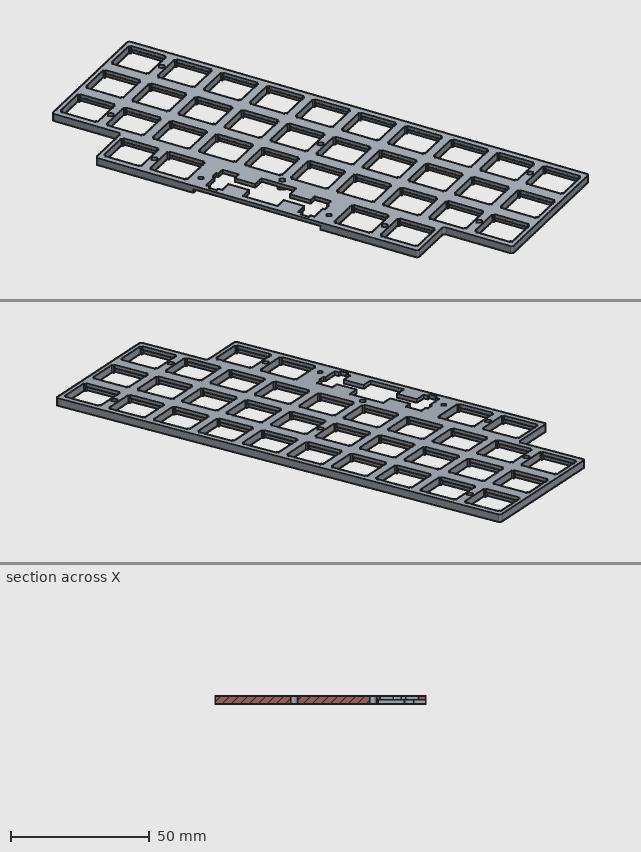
import cadquery as cq
pitch = 19.0
main_columns = 10
main_rows = 3
bottom_units = 7
bottom_key_columns = (-3, -2, 2, 3)

length = main_columns * pitch
width = (main_rows + 1) * pitch
thickness = 3.0
bottom_length = bottom_units * pitch
outer_corner_radius = 1.0
inner_corner_radius = 1.1
top_edge = width / 2
bottom_edge = -width / 2
step_edge = bottom_edge + pitch
bottom_row_y = bottom_edge + pitch / 2

wing_length = 15.5
wing_width = 12.8
clip_pocket_width = 15.0
clip_ledge_total = 1.05
clip_ledge_height = 1.5
window_size = clip_pocket_width - clip_ledge_total

space_switch_length = 14.3
space_switch_width = 14.0
stabilizer_offset = 19.0
stabilizer_length = 6.7
stabilizer_top = 5.3
stabilizer_bottom = -6.9
foot_length = 3.2
foot_bottom = -8.0
wing_reach = 0.85
wing_top = 2.3
wing_bottom = -0.5
wire_channel_width = 4.5

screw_diameter = 2.3
space_screw_diameter = 2.0
space_screw_x = 26.5
space_screw_y = bottom_row_y - 3.5
relief_length = 52.4
relief_depth = 1.5
center_post_diameter = 3.8
space_post_diameter = 3.5

center_screw = (0, step_edge)
screw_points = [(x, y) for x in (-4 * pitch, 4 * pitch) for y in (1.5 * pitch, -0.5 * pitch)]
screw_points += [(x, bottom_row_y) for x in (-2.5 * pitch, 2.5 * pitch)]
screw_points += [(0, 0.5 * pitch), center_screw]
space_screw_points = [(-space_screw_x, space_screw_y), (space_screw_x, space_screw_y)]


def block(x_min, x_max, y_min, y_max, height=thickness):
    """Rectangular block standing on the underside of the plate."""
    blank = cq.Workplane("XY").box(x_max - x_min, y_max - y_min, height, centered=False)
    return blank.translate((x_min, y_min, 0))


def cylinders(points, diameter, height=thickness):
    return cq.Workplane("XY").pushPoints(points).circle(diameter / 2).extrude(height)


def rectangles(centers, size_x, size_y, height=thickness):
    return cq.Workplane("XY").pushPoints(centers).rect(size_x, size_y).extrude(height)


def round_corners(blank, corners, radius):
    """Fillet the upright edge at each (x, y) corner."""
    for x, y in corners:
        nearest = cq.selectors.NearestToPointSelector((x, y, thickness / 2))
        blank = blank.edges(nearest).fillet(radius)
    return blank


def plate_blank():
    half_length = length / 2
    half_bottom = bottom_length / 2
    main = block(-half_length, half_length, step_edge, top_edge)
    bottom = block(-half_bottom, half_bottom, bottom_edge, step_edge)
    inner_corners = [(-half_bottom, step_edge), (half_bottom, step_edge)]
    outer_corners = [(x, y) for x in (-half_length, half_length) for y in (step_edge, top_edge)]
    outer_corners += [(-half_bottom, bottom_edge), (half_bottom, bottom_edge)]
    blank = round_corners(main.union(bottom), inner_corners, inner_corner_radius)
    return round_corners(blank, outer_corners, outer_corner_radius)


def key_windows():
    first_x = -length / 2 + pitch / 2
    first_y = step_edge + pitch / 2
    columns = [first_x + column * pitch for column in range(main_columns)]
    rows = [first_y + row * pitch for row in range(main_rows)]
    centers = [(x, y) for x in columns for y in rows]
    centers += [(column * pitch, bottom_row_y) for column in bottom_key_columns]
    square = rectangles(centers, window_size, window_size)
    wings = rectangles(centers, wing_length, wing_width)
    clip_pockets = rectangles(centers, window_size, clip_pocket_width, clip_ledge_height)
    return square.union(wings).union(clip_pockets)


def stabilizer_cutout():
    """Cutout on the +X side: body, foot notch and outer wing notch."""
    x = stabilizer_offset
    half = stabilizer_length / 2
    body = block(x - half, x + half, stabilizer_bottom, stabilizer_top)
    foot = block(x - foot_length / 2, x + foot_length / 2, foot_bottom, stabilizer_bottom)
    wing = block(x + half, x + half + wing_reach, wing_bottom, wing_top)
    return body.union(foot).union(wing)


def space_bar_cutout():
    half_length = space_switch_length / 2
    half_width = space_switch_width / 2
    half_channel = wire_channel_width / 2
    switch = block(-half_length, half_length, -half_width, half_width)
    channel = block(-stabilizer_offset, stabilizer_offset, -half_channel, half_channel)
    stabilizer = stabilizer_cutout()
    cutout = switch.union(channel).union(stabilizer).union(stabilizer.mirror("YZ"))
    return cutout.translate((0, bottom_row_y, 0))


def underside_relief():
    """Relief open at the front edge, leaving posts around the screws that it meets."""
    relief = block(-relief_length / 2, relief_length / 2, bottom_edge, step_edge, relief_depth)
    center_post = cylinders([center_screw], center_post_diameter, relief_depth)
    space_posts = cylinders(space_screw_points, space_post_diameter, relief_depth)
    return relief.cut(center_post).cut(space_posts)


result = (
    plate_blank()
    .cut(underside_relief())
    .cut(key_windows())
    .cut(space_bar_cutout())
    .cut(cylinders(screw_points, screw_diameter))
    .cut(cylinders(space_screw_points, space_screw_diameter))
)